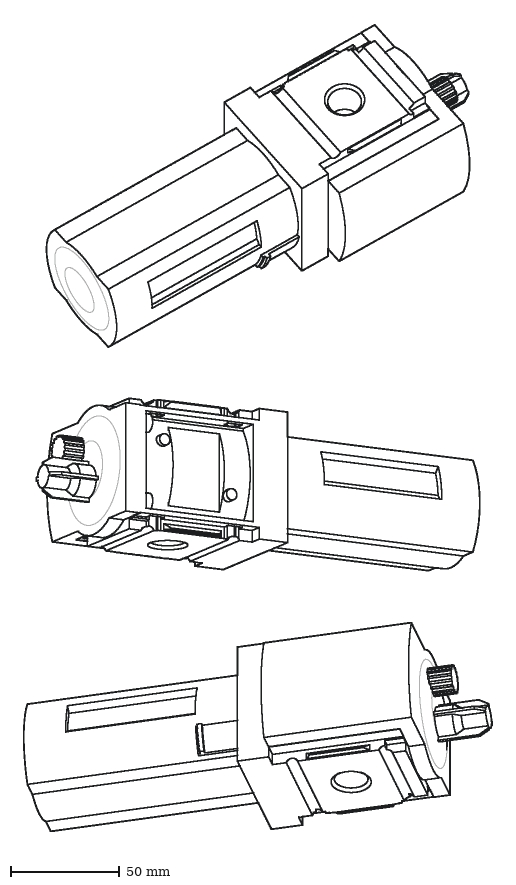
import cadquery as cq
import math


BODY_SIDE = 62.0
HALF = BODY_SIDE / 2
TOTAL_LENGTH = 215.8
TOTAL_WIDTH = 75.7

COLLAR_END = 14.9
COVER_START = 77.5
COVER_END = 85.2
PLATE_HALF_HEIGHT = 25.7
FRAME_HALF_HEIGHT = 25.5
PORT_BLOCK_HALF_WIDTH = 24.0

COVER_BOSS_HALF_WIDTH = 15.0
COVER_BOSS_HALF_HEIGHT = 30.5

MODULE_FLAT_X = 39.7
MODULE_CROWN_X = TOTAL_WIDTH - HALF

GROOVE_WIDTH = 5.5
GROOVE_DEPTH = 2.0
GROOVE_CENTRES = (24.2, 68.5)

CORNER_RELIEF_START = 68.5
CORNER_RELIEF_INNER_X = 20.0
CORNER_RELIEF_Z = 26.3

PORT_Y = 46.2
PORT_RADIUS = 7.8
PORT_MOUTH_RADIUS = 9.3
PORT_DEPTH = 17.3

TAB_REACH = 2.8
TAB_BASE_LENGTH = 30.2
TAB_END_BEVEL = 2.2
TAB_TOP_Z = HALF - 0.6
TAB_EDGE_THICKNESS = 0.5
TAB_ROOT_THICKNESS = 2.8

LATCH_HOLE_CENTRES = (25.7, 66.7)
LATCH_HOLE_OUTER_X = 27.5
LATCH_HOLE_INNER_X = 23.7
LATCH_HOLE_LENGTH = 7.5
LATCH_NOTCH_X = 22.5
LATCH_NOTCH_LENGTH = 4.5

BOWL_LENGTH = 102.7
BOWL_HALF_WIDTH = 28.0
BOWL_CORNER_X = 21.4
BOWL_FLAT_Z = 21.8
BOWL_CROWN_X = 12.3
BOWL_CROWN_Z = 24.8
BOWL_END_RADIUS = 21.5
BOWL_END_FLAT_RADIUS = 11.7
BOWL_END_HEIGHT = 1.3

SLOT_START = 21.0
SLOT_LENGTH = 61.7
SLOT_LOW_Z = -0.5
SLOT_HIGH_Z = 15.8
SLOT_TAPER = 2.5
SLOT_DEPTH = 3.5

LATCH_LOW_Z = -19.9
LATCH_HIGH_Z = -7.5
LATCH_LENGTH = 20.5
LATCH_THICKNESS = 1.5
LATCH_TIP_START = 17.3
LATCH_TIP_END = 19.5
LATCH_TIP_THICKNESS = 3.0

WINDOW_START = 18.1
WINDOW_END = 74.5
WINDOW_HALF_HEIGHT = 23.0
PANEL_START = 31.7
PANEL_END = 58.7
PANEL_HALF_HEIGHT = 18.5
PIN_DIAMETER = 5.5
PIN_TIP_X = -29.5
PIN_CENTRES = ((63.9, 11.0), (28.7, -11.0))
STUD_RADIUS = 4.3
STUD_LENGTH = 4.0
STUD_X = -25.5

DOME_RADIUS = 25.5
DOME_FLAT_RADIUS = 13.5
DOME_HEIGHT = 2.8
DOME_MID_HEIGHT = 1.7

KNOB_Z = -5.8
KNOB_END = TOTAL_LENGTH - BOWL_LENGTH - BOWL_END_HEIGHT
KNOB_FIN_RADIUS = 9.5
KNOB_FIN_TIP_RADIUS = 6.7
KNOB_FIN_BEVEL = 4.5
KNOB_FIN_THICKNESS = 1.5
KNOB_STEM_RADIUS = 5.5
KNOB_FOOT_RADIUS = 7.8
KNOB_FOOT_TOP = 96.5
KNOB_STEM_START = 100.1

SCREW_X = 10.1
SCREW_Z = 10.5
SCREW_RADIUS = 6.7
SCREW_END = 98.2
SCREW_FLUTES = 16
FLUTE_RADIUS = 0.75

FLANK_RISE = BOWL_HALF_WIDTH - BOWL_CORNER_X
FLANK_RADIUS = (BOWL_FLAT_Z ** 2 + FLANK_RISE ** 2) / (2 * FLANK_RISE)
FLANK_CENTRE_X = FLANK_RADIUS - BOWL_HALF_WIDTH


def block(x_range, y_range, z_range):
    """Box given by its limits along each axis."""
    limits = (x_range, y_range, z_range)
    size = [high - low for low, high in limits]
    corner = [low for low, high in limits]
    return cq.Workplane("XY").box(*size, centered=False).translate(tuple(corner))


def section(y):
    """Workplane at position y whose local axes are X and Z; it extrudes toward -Y."""
    return cq.Workplane("XZ", origin=(0, y, 0))


def rod(x, z, radius, y_start, y_end):
    """Cylinder along Y."""
    return section(y_end).center(x, z).circle(radius).extrude(y_end - y_start)


def mirrored_pair(shape, plane):
    """A shape together with its mirror image."""
    return shape.union(shape.mirror(plane))


def bowl_prism(y_start, y_end):
    """Barrel section: rounded flanks, flats above and below with a raised crown."""
    return (
        section(y_end)
        .moveTo(-BOWL_CORNER_X, BOWL_FLAT_Z)
        .lineTo(-BOWL_CROWN_X, BOWL_FLAT_Z)
        .threePointArc((0, BOWL_CROWN_Z), (BOWL_CROWN_X, BOWL_FLAT_Z))
        .lineTo(BOWL_CORNER_X, BOWL_FLAT_Z)
        .threePointArc((BOWL_HALF_WIDTH, 0), (BOWL_CORNER_X, -BOWL_FLAT_Z))
        .lineTo(BOWL_CROWN_X, -BOWL_FLAT_Z)
        .threePointArc((0, -BOWL_CROWN_Z), (-BOWL_CROWN_X, -BOWL_FLAT_Z))
        .lineTo(-BOWL_CORNER_X, -BOWL_FLAT_Z)
        .threePointArc((-BOWL_HALF_WIDTH, 0), (-BOWL_CORNER_X, BOWL_FLAT_Z))
        .close()
        .extrude(y_end - y_start)
    )


def flank_x(z, depth=0.0):
    """X of the -X flank at height z, sunk by depth."""
    return FLANK_CENTRE_X - math.sqrt((FLANK_RADIUS - depth) ** 2 - z ** 2)


def flank_slot():
    """Recess in the -X flank with a low ledge, tapering to a floor that follows the flank."""
    ledge_depth = SLOT_DEPTH / 2
    floor_low = SLOT_LOW_Z + SLOT_TAPER
    floor_high = SLOT_HIGH_Z - SLOT_TAPER
    floor_mid = (floor_low + floor_high) / 2
    return (
        section(-SLOT_START)
        .moveTo(-HALF, SLOT_LOW_Z)
        .lineTo(flank_x(SLOT_LOW_Z, ledge_depth), SLOT_LOW_Z)
        .lineTo(flank_x(floor_low, SLOT_DEPTH), floor_low)
        .threePointArc(
            (flank_x(floor_mid, SLOT_DEPTH), floor_mid),
            (flank_x(floor_high, SLOT_DEPTH), floor_high),
        )
        .lineTo(flank_x(SLOT_HIGH_Z), SLOT_HIGH_Z)
        .lineTo(-HALF, SLOT_HIGH_Z)
        .close()
        .extrude(SLOT_LENGTH)
    )


def latch_layer(y_start, y_end, thickness):
    """Piece of a curved layer lying on the +X flank."""
    layer = rod(-FLANK_CENTRE_X, 0, FLANK_RADIUS + thickness, y_start, y_end)
    return layer.intersect(block((0, HALF), (y_start, y_end), (LATCH_LOW_Z, LATCH_HIGH_Z)))


def bowl():
    end_cap = (
        section(-BOWL_LENGTH)
        .circle(BOWL_END_RADIUS)
        .workplane(offset=BOWL_END_HEIGHT)
        .circle(BOWL_END_FLAT_RADIUS)
        .loft(ruled=True)
    )
    return (
        bowl_prism(-BOWL_LENGTH, 0)
        .cut(mirrored_pair(flank_slot(), "YZ"))
        .union(end_cap)
        .union(latch_layer(-LATCH_LENGTH, 0, LATCH_THICKNESS))
        .union(latch_layer(-LATCH_TIP_END, -LATCH_TIP_START, LATCH_TIP_THICKNESS))
    )


def body_blank():
    """Square collar, side frames, taller port block and rear cover."""
    full = (-HALF, HALF)
    frame = (-FRAME_HALF_HEIGHT, FRAME_HALF_HEIGHT)
    plate = (-PLATE_HALF_HEIGHT, PLATE_HALF_HEIGHT)
    port_block = (-PORT_BLOCK_HALF_WIDTH, PORT_BLOCK_HALF_WIDTH)
    return (
        block(full, (0, COLLAR_END), full)
        .union(block(full, (COLLAR_END, COVER_START), frame))
        .union(block(full, (COVER_START, COVER_END), plate))
        .union(block(port_block, (COLLAR_END, COVER_START), full))
    )


def cover_boss():
    """Arched rise on the top of the rear cover."""
    return (
        section(COVER_END)
        .moveTo(-COVER_BOSS_HALF_WIDTH, 0)
        .lineTo(-COVER_BOSS_HALF_WIDTH, PLATE_HALF_HEIGHT)
        .threePointArc(
            (0, COVER_BOSS_HALF_HEIGHT),
            (COVER_BOSS_HALF_WIDTH, PLATE_HALF_HEIGHT),
        )
        .lineTo(COVER_BOSS_HALF_WIDTH, 0)
        .close()
        .extrude(COVER_END - COVER_START)
    )


def side_module():
    """Module on the +X side with a crowned outer face."""
    return (
        section(COVER_END)
        .moveTo(HALF, -PLATE_HALF_HEIGHT)
        .lineTo(MODULE_FLAT_X, -PLATE_HALF_HEIGHT)
        .threePointArc((MODULE_CROWN_X, 0), (MODULE_FLAT_X, PLATE_HALF_HEIGHT))
        .lineTo(HALF, PLATE_HALF_HEIGHT)
        .close()
        .extrude(COVER_END - COLLAR_END)
    )


def groove(y):
    """Arc-shaped groove along X in the top of the port block."""
    half_width = GROOVE_WIDTH / 2
    return (
        cq.Workplane("YZ", origin=(-PORT_BLOCK_HALF_WIDTH, 0, 0))
        .moveTo(y - half_width, HALF)
        .threePointArc((y, HALF - GROOVE_DEPTH), (y + half_width, HALF))
        .close()
        .extrude(2 * PORT_BLOCK_HALF_WIDTH)
    )


def port():
    """Blind port with a countersunk mouth in the top face."""
    lead_in = PORT_MOUTH_RADIUS - PORT_RADIUS
    return (
        cq.Workplane("XZ", origin=(0, PORT_Y, 0))
        .moveTo(0, HALF)
        .lineTo(PORT_MOUTH_RADIUS, HALF)
        .lineTo(PORT_RADIUS, HALF - lead_in)
        .lineTo(PORT_RADIUS, HALF - PORT_DEPTH)
        .lineTo(0, HALF - PORT_DEPTH)
        .close()
        .revolve(360, (0, 0, 0), (0, 1, 0))
    )


def corner_relief():
    """Step in the top +X corner of the port block, next to the cover."""
    return block(
        (CORNER_RELIEF_INNER_X, PORT_BLOCK_HALF_WIDTH),
        (CORNER_RELIEF_START, COVER_START),
        (CORNER_RELIEF_Z, HALF),
    )


def tab():
    """Overhanging tab on the -X edge of the top port face, thinning outward."""
    root_x = -PORT_BLOCK_HALF_WIDTH
    tip_x = root_x - TAB_REACH
    half_base = TAB_BASE_LENGTH / 2
    half_tip = half_base - TAB_END_BEVEL
    plan = (
        cq.Workplane("XY", origin=(0, PORT_Y, TAB_TOP_Z - TAB_ROOT_THICKNESS))
        .polyline([(root_x, -half_base), (tip_x, -half_tip), (tip_x, half_tip), (root_x, half_base)])
        .close()
        .extrude(TAB_ROOT_THICKNESS)
    )
    profile = (
        section(PORT_Y + half_base)
        .polyline(
            [
                (root_x, TAB_TOP_Z),
                (tip_x, TAB_TOP_Z),
                (tip_x, TAB_TOP_Z - TAB_EDGE_THICKNESS),
                (root_x, TAB_TOP_Z - TAB_ROOT_THICKNESS),
            ]
        )
        .close()
        .extrude(TAB_BASE_LENGTH)
    )
    return plan.intersect(profile)


def latch_hole(y):
    """T-shaped hole from the top into the side window, notched into the port block."""
    height = (WINDOW_HALF_HEIGHT, HALF)
    half_length = LATCH_HOLE_LENGTH / 2
    half_notch = LATCH_NOTCH_LENGTH / 2
    hole = block(
        (-LATCH_HOLE_OUTER_X, -LATCH_HOLE_INNER_X),
        (y - half_length, y + half_length),
        height,
    )
    notch = block(
        (-LATCH_HOLE_INNER_X, -LATCH_NOTCH_X),
        (y - half_notch, y + half_notch),
        height,
    )
    return hole.union(notch)


def side_window():
    """Opening in the -X frame that leaves the barrel-shaped core standing inside."""
    span = (WINDOW_START, WINDOW_END)
    height = (-WINDOW_HALF_HEIGHT, WINDOW_HALF_HEIGHT)
    panel_x = flank_x(PANEL_HALF_HEIGHT)
    panel = block(
        (-HALF, panel_x),
        (PANEL_START, PANEL_END),
        (-PANEL_HALF_HEIGHT, PANEL_HALF_HEIGHT),
    )
    opening = block((-HALF, -BOWL_CORNER_X), span, height)
    return opening.cut(bowl_prism(*span)).union(panel)


def window_fittings():
    """Pins on the core and short studs in the rear corners of the window."""
    stud_z = WINDOW_HALF_HEIGHT - STUD_RADIUS
    stud = rod(STUD_X, stud_z, STUD_RADIUS, WINDOW_END - STUD_LENGTH, WINDOW_END)
    fittings = mirrored_pair(stud, "XY")
    for y, z in PIN_CENTRES:
        pin = (
            cq.Workplane("YZ", origin=(PIN_TIP_X, 0, 0))
            .center(y, z)
            .circle(PIN_DIAMETER / 2)
            .extrude(-BOWL_CORNER_X - PIN_TIP_X)
        )
        fittings = fittings.union(pin)
    return fittings


def body():
    tabs = mirrored_pair(tab(), "YZ")
    shape = body_blank().union(side_module()).cut(side_window()).union(window_fittings())
    shape = shape.union(mirrored_pair(cover_boss(), "XY"))
    reliefs = mirrored_pair(corner_relief(), "YZ")
    cuts = [groove(y) for y in GROOVE_CENTRES]
    cuts += [latch_hole(y) for y in LATCH_HOLE_CENTRES]
    cuts += [port(), reliefs]
    for cutter in cuts:
        shape = shape.cut(cutter).cut(cutter.mirror("XY"))
    return shape.union(mirrored_pair(tabs, "XY"))


def dome():
    top = COVER_END + DOME_HEIGHT
    mid_radius = (DOME_RADIUS + DOME_FLAT_RADIUS) / 2
    mid_y = COVER_END + DOME_MID_HEIGHT
    return (
        cq.Workplane("XY")
        .moveTo(0, COVER_END)
        .lineTo(DOME_RADIUS, COVER_END)
        .threePointArc((mid_radius, mid_y), (DOME_FLAT_RADIUS, top))
        .lineTo(0, top)
        .close()
        .revolve(360, (0, 0, 0), (0, 1, 0))
    )


def finned_knob():
    """Stem with a wider foot and four fins bevelled at the tip."""
    stem = (
        cq.Workplane("XY")
        .moveTo(0, COVER_END)
        .lineTo(KNOB_FOOT_RADIUS, COVER_END)
        .lineTo(KNOB_FOOT_RADIUS, KNOB_FOOT_TOP)
        .lineTo(KNOB_STEM_RADIUS, KNOB_STEM_START)
        .lineTo(KNOB_STEM_RADIUS, KNOB_END)
        .lineTo(0, KNOB_END)
        .close()
        .revolve(360, (0, 0, 0), (0, 1, 0))
    )
    bevel_start = KNOB_END - KNOB_FIN_BEVEL
    fin = (
        cq.Workplane("XY")
        .polyline(
            [
                (-KNOB_FIN_RADIUS, COVER_END),
                (-KNOB_FIN_RADIUS, bevel_start),
                (-KNOB_FIN_TIP_RADIUS, KNOB_END),
                (KNOB_FIN_TIP_RADIUS, KNOB_END),
                (KNOB_FIN_RADIUS, bevel_start),
                (KNOB_FIN_RADIUS, COVER_END),
            ]
        )
        .close()
        .extrude(KNOB_FIN_THICKNESS / 2, both=True)
    )
    cross_fin = fin.rotate((0, 0, 0), (0, 1, 0), 90)
    return stem.union(fin).union(cross_fin).translate((0, 0, KNOB_Z))


def fluted_screw():
    """Adjusting screw with flutes around its rim."""
    flutes = (
        section(SCREW_END)
        .center(SCREW_X, SCREW_Z)
        .polarArray(SCREW_RADIUS, 0, 360, SCREW_FLUTES)
        .circle(FLUTE_RADIUS)
        .extrude(SCREW_END - COVER_END)
    )
    return rod(SCREW_X, SCREW_Z, SCREW_RADIUS, COVER_END, SCREW_END).cut(flutes)


result = body().union(bowl()).union(dome()).union(finned_knob()).union(fluted_screw())